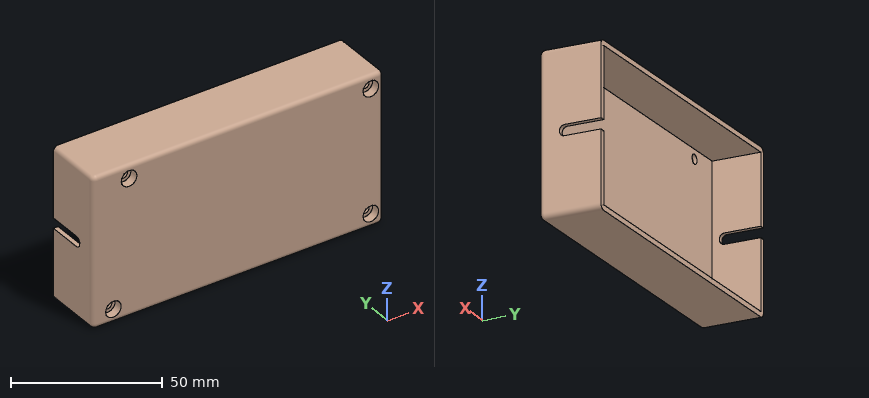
import cadquery as cq

length = 116.0
depth = 23.1
height = 60.0
wall = 2.0
front_wall = 5.0
edge_radius = 2.0

slot_width = 4.0
slot_depth = 15.4

screw_diameter = 3.5
head_diameter = 6.1
head_depth = 3.5
hole_height = 24.5
right_hole_x = 52.9
upper_left_hole_x = -43.5
lower_left_hole_x = -49.8
hole_centres = [
    (right_hole_x, hole_height),
    (right_hole_x, -hole_height),
    (upper_left_hole_x, hole_height),
    (lower_left_hole_x, -hole_height),
]

front_y = -depth / 2
rear_y = depth / 2


def make_outer_block():
    """Solid block with every edge rounded except those of the rear rim."""
    return cq.Workplane("XY").box(length, depth, height).edges("not >Y").fillet(edge_radius)


def make_cavity():
    """Square-cornered pocket that runs from the front wall to the open rear."""
    return (
        cq.Workplane("XZ", origin=(0, rear_y, 0))
        .rect(length - 2 * wall, height - 2 * wall)
        .extrude(depth - front_wall)
    )


def make_end_slots():
    """Round-ended slot running the full length, so it opens both end walls."""
    radius = slot_width / 2
    slot_end_y = rear_y - slot_depth
    return (
        cq.Workplane("YZ", origin=(-length / 2, 0, 0))
        .moveTo(rear_y, radius)
        .lineTo(slot_end_y + radius, radius)
        .threePointArc((slot_end_y, 0), (slot_end_y + radius, -radius))
        .lineTo(rear_y, -radius)
        .close()
        .extrude(length)
    )


def cylinders_from_front(diameter, cylinder_depth):
    """One cylinder per screw position, running back from the front face."""
    return (
        cq.Workplane("XZ", origin=(0, front_y, 0))
        .pushPoints(hole_centres)
        .circle(diameter / 2)
        .extrude(-cylinder_depth)
    )


result = (
    make_outer_block()
    .cut(make_cavity())
    .cut(make_end_slots())
    .cut(cylinders_from_front(head_diameter, head_depth))
    .cut(cylinders_from_front(screw_diameter, front_wall))
)